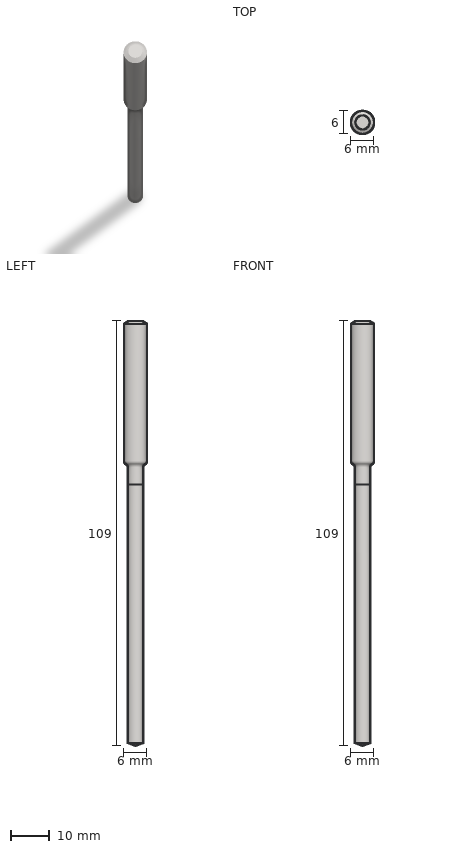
import cadquery as cq

total_length = 109.0
usable_length = 49.6
cutting_length = 67.0
shank_start = 73.0

shank_diameter = 6.0
drill_diameter = 4.0
tip_height = 0.8
shoulder_height = 1.5
chamfer_width = 1.2
chamfer_height = 0.8

shank_radius = shank_diameter / 2
drill_radius = drill_diameter / 2

shoulder_start = shank_start - shoulder_height
shoulder_middle_radius = (drill_radius + shank_radius) / 2
shoulder_middle_height = shank_start - shoulder_height / 2


def revolve_about_z(profile):
    """Turn a closed (radius, height) profile about Z, keeping seams between collinear edges."""
    return profile.revolve(360, (0, 0, 0), (0, 1, 0), clean=False)


def make_cutting_part():
    """Cutting cylinder with a shallow conical point and a seam at the usable length."""
    profile = cq.Workplane("XZ").polyline([
        (0, 0),
        (drill_radius, tip_height),
        (drill_radius, usable_length),
        (drill_radius, cutting_length),
        (0, cutting_length),
    ]).close()
    return revolve_about_z(profile)


def make_shank():
    """Neck, smoothly curved shoulder and chamfered clamping shank."""
    profile = (
        cq.Workplane("XZ")
        .moveTo(0, cutting_length)
        .lineTo(drill_radius, cutting_length)
        .lineTo(drill_radius, shoulder_start)
        .tangentArcPoint((shoulder_middle_radius, shoulder_middle_height), relative=False)
        .tangentArcPoint((shank_radius, shank_start), relative=False)
        .lineTo(shank_radius, total_length - chamfer_height)
        .lineTo(shank_radius - chamfer_width, total_length)
        .lineTo(0, total_length)
        .close()
    )
    return revolve_about_z(profile)


cutting_part = make_cutting_part()
shank = make_shank()

result = cq.Compound.makeCompound([cutting_part.val(), shank.val()])